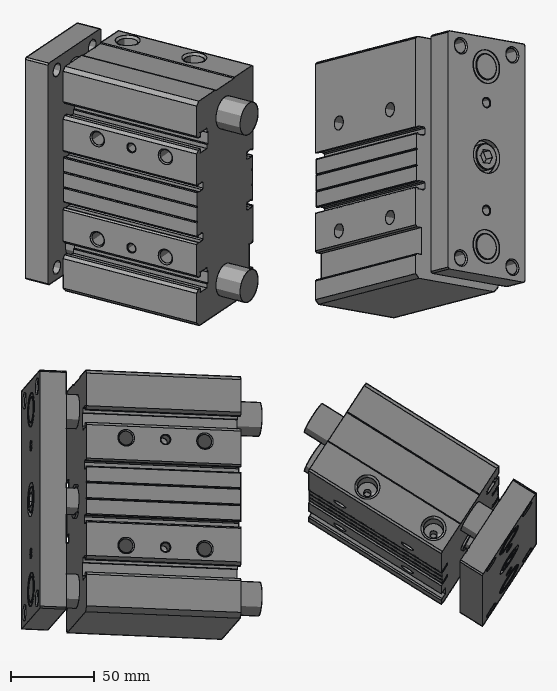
import cadquery as cq
import math


CUT_MARGIN = 1.5

housing_start = 27.8
housing_end = 122.0
housing_length = housing_end - housing_start
housing_depth = 64.0
housing_height = 148.0
front_y = -housing_depth / 2
back_y = housing_depth / 2
top_z = housing_height / 2
bottom_z = -housing_height / 2
front_top_chamfer = 2.4
front_bottom_chamfer = 3.0
back_top_chamfer = 1.3
back_bottom_chamfer = 2.5

plate_thickness = 16.0
plate_depth = 60.0
plate_height = 146.0
plate_chamfer = 1.0

rod_diameter = 16.0
rod_end_chamfer = 0.5
piston_rod_end = 74.0
hex_across_flats = 8.0
hex_depth = 5.9
guide_diameter = 20.4
guide_end = 139.0
guide_spacing = 110.1
guide_zs = (-guide_spacing / 2, guide_spacing / 2)
collar_diameter = 20.4
collar_length = 1.3

rod_recess_diameter = 20.4
piston_recess_depth = 4.5
guide_recess_depth = 0.5

bolt_hole_diameter = 8.5
bolt_hole_rim = 10.0
plate_bolt_half_y = 20.0
plate_bolt_half_z = 65.0
housing_bolt_spacing = 48.0

dowel_diameter = 5.5
dowel_rim = 6.4
dowel_depth = 8.9
dowel_tip_angle = 118.0
dowel_half_z = 33.0
dowel_x = 75.9

port_xs = (40.0, 86.9)
port_y = 21.6
port_diameter = 12.1
port_rim = 15.0
port_depth = 14.8
port_cone_depth = 2.4
port_drill_diameter = 4.5
port_drill_depth = 8.9
air_passage_length = 9.5

top_groove_width = 21.6
top_groove_floor_width = 20.5
top_groove_depth = 0.6

t_slot_z = 45.9
t_mouth_half = 4.0
t_mouth_chamfer = 1.8
t_head_half = 6.7
t_head_start = 4.1
t_head_end = 11.5
t_slot_depth = 13.0

sensor_slot_z = 16.7
sensor_mouth_half = 1.8
sensor_block_chamfer = 1.0
sensor_rib_chamfer = 0.6
sensor_head_half = 2.5
sensor_neck_end = 1.5
sensor_head_start = 2.2
sensor_head_end = 6.4
sensor_slot_depth = 7.1
rib_recess = 0.6
rib_groove_z = 5.0
rib_groove_width = 1.0
rib_groove_depth = 0.6

back_recess_top = -42.6
back_recess_bottom = -59.0
back_recess_chamfer = 1.0
back_recess_depth = 4.5


def along_x(profile, start, length):
    """Extrude a closed outline of (y, z) points along X."""
    return cq.Workplane("YZ", origin=(start, 0, 0)).polyline(profile).close().extrude(length)


def disc_x(start, end, diameter, z=0.0):
    """A cylinder along X between two stations."""
    return cq.Workplane("YZ", origin=(start, 0, z)).circle(diameter / 2).extrude(end - start)


def drill(origin, direction, steps):
    """A turned cutter. Steps are (depth, radius) points of its outline, from the surface down."""
    profile = [(0, 0)] + [(radius, depth) for depth, radius in steps]
    if steps[-1][1] > 0:
        profile.append((0, steps[-1][0]))
    side = (0, 0, 1) if direction[2] == 0 else (1, 0, 0)
    normal = cq.Vector(*side).cross(cq.Vector(*direction))
    plane = cq.Plane(origin=origin, xDir=side, normal=normal.toTuple())
    return cq.Workplane(plane).polyline(profile).close().revolve(360, (0, 0), (0, 1))


def bolt_hole(origin, direction, length):
    """A through hole with a 45 degree chamfer at its rim."""
    rim = bolt_hole_rim / 2
    radius = bolt_hole_diameter / 2
    return drill(origin, direction, [(0, rim), (rim - radius, radius), (length, radius)])


def dowel_hole(origin, direction):
    """A blind hole with a chamfered rim and a drill-point bottom."""
    rim = dowel_rim / 2
    radius = dowel_diameter / 2
    tip = radius / math.tan(math.radians(dowel_tip_angle / 2))
    return drill(
        origin,
        direction,
        [(0, rim), (rim - radius, radius), (dowel_depth, radius), (dowel_depth + tip, 0)],
    )


def housing_block():
    outline = [
        (front_y + front_bottom_chamfer, bottom_z),
        (back_y - back_bottom_chamfer, bottom_z),
        (back_y, bottom_z + back_bottom_chamfer),
        (back_y, top_z - back_top_chamfer),
        (back_y - back_top_chamfer, top_z),
        (front_y + front_top_chamfer, top_z),
        (front_y, top_z - front_top_chamfer),
        (front_y, bottom_z + front_bottom_chamfer),
    ]
    return along_x(outline, housing_start, housing_length)


def face_cut(points, face_y, inward, center_z=0.0, up=1):
    """A housing-long cutter from (depth below a face, height above a center line) points."""
    profile = [(face_y + inward * depth, center_z + up * height) for depth, height in points]
    return along_x(profile, housing_start, housing_length)


def rod_collar():
    """A low collar around the piston rod, open toward -Y over the rod's full width."""
    start = housing_start - collar_length
    collar = disc_x(start, housing_start, collar_diameter)
    opening = cq.Workplane("XY").box(
        collar_length, collar_diameter / 2, rod_diameter, centered=(False, False, True)
    )
    return collar.cut(opening.translate((start, -collar_diameter / 2, 0)))


def t_slot(center_z):
    mouth = t_mouth_half + t_mouth_chamfer
    half = [
        (0, mouth),
        (t_mouth_chamfer, t_mouth_half),
        (t_head_start, t_mouth_half),
        (t_head_start, t_head_half),
        (t_head_end, t_head_half),
        (t_head_end, t_mouth_half),
        (t_slot_depth, t_mouth_half),
    ]
    other_half = [(depth, -height) for depth, height in reversed(half)]
    return face_cut(half + other_half, front_y, 1, center_z)


def sensor_slot(face_y, inward, side, block_chamfer):
    """One sensor slot; the solid block lies on its outer side, the ribs on its inner side."""
    inner = [
        (sensor_neck_end, sensor_mouth_half),
        (sensor_head_start, sensor_head_half),
        (sensor_head_end, sensor_head_half),
        (sensor_slot_depth, sensor_mouth_half),
    ]
    outer_side = [(0, sensor_mouth_half + block_chamfer)]
    if block_chamfer > 0:
        outer_side.append((block_chamfer, sensor_mouth_half))
    rib_side = [
        (rib_recess + sensor_rib_chamfer, -sensor_mouth_half),
        (rib_recess, -sensor_mouth_half - sensor_rib_chamfer),
        (0, -sensor_mouth_half - sensor_rib_chamfer),
    ]
    mirrored = [(depth, -height) for depth, height in reversed(inner)]
    points = outer_side + inner + mirrored + rib_side
    return face_cut(points, face_y, inward, side * sensor_slot_z, side)


def ribbed_band(face_y, inward):
    """The set-back band between the sensor slots, with its two V grooves."""
    edge = sensor_slot_z
    band = face_cut([(0, -edge), (rib_recess, -edge), (rib_recess, edge), (0, edge)], face_y, inward)
    half = rib_groove_width / 2
    groove = [(rib_recess, -half), (rib_recess + rib_groove_depth, 0), (rib_recess, half)]
    for side in (-1, 1):
        band = band.union(face_cut(groove, face_y, inward, side * rib_groove_z))
    return band


def back_recess():
    upper = back_recess_top
    lower = back_recess_bottom
    chamfer = back_recess_chamfer
    points = [
        (0, upper + chamfer),
        (chamfer, upper),
        (back_recess_depth, upper),
        (back_recess_depth, lower),
        (chamfer, lower),
        (0, lower - chamfer),
    ]
    return face_cut(points, back_y, -1)


def top_groove():
    floor_z = top_z - top_groove_depth
    profile = [
        (-top_groove_width / 2, top_z),
        (-top_groove_floor_width / 2, floor_z),
        (top_groove_floor_width / 2, floor_z),
        (top_groove_width / 2, top_z),
    ]
    return along_x(profile, housing_start, housing_length)


def air_port(x):
    rim = port_rim / 2
    radius = port_diameter / 2
    drill_radius = port_drill_diameter / 2
    cone_end = port_depth + port_cone_depth
    steps = [
        (0, rim),
        (rim - radius, radius),
        (port_depth, radius),
        (cone_end, drill_radius),
        (cone_end + port_drill_depth, drill_radius),
    ]
    return drill((x, port_y, top_z), (0, 0, -1), steps)


def air_passage(x):
    """A short cross hole along X at the foot of a port's drilling."""
    z = top_z - port_depth - port_cone_depth - port_drill_depth
    half = air_passage_length / 2
    return disc_x(x - half, x + half, port_drill_diameter, z).translate((0, port_y, 0))


def make_housing():
    body = housing_block()
    body = body.union(rod_collar())

    for side in (-1, 1):
        body = body.cut(t_slot(side * t_slot_z))
        body = body.cut(sensor_slot(front_y, 1, side, sensor_block_chamfer))
        body = body.cut(sensor_slot(back_y, -1, side, 0))
    body = body.cut(ribbed_band(front_y, 1)).cut(ribbed_band(back_y, -1))
    body = body.cut(back_recess()).cut(top_groove())

    for z in (-dowel_half_z, dowel_half_z):
        for x in (dowel_x - housing_bolt_spacing / 2, dowel_x + housing_bolt_spacing / 2):
            body = body.cut(bolt_hole((x, front_y, z), (0, 1, 0), housing_depth + CUT_MARGIN))
        body = body.cut(dowel_hole((dowel_x, front_y, z), (0, 1, 0)))

    for x in port_xs:
        body = body.cut(air_port(x))
    body = body.cut(air_passage(port_xs[1]))

    body = body.cut(disc_x(housing_start - collar_length, piston_rod_end, rod_diameter))
    for z in guide_zs:
        body = body.cut(disc_x(housing_start, housing_end, guide_diameter, z))
    return body


def make_plate():
    plate = (
        cq.Workplane("YZ")
        .rect(plate_depth, plate_height)
        .extrude(plate_thickness)
        .edges("|X")
        .chamfer(plate_chamfer)
    )
    plate = plate.cut(disc_x(0, plate_thickness, rod_diameter))
    plate = plate.cut(disc_x(0, piston_recess_depth, rod_recess_diameter))
    for z in guide_zs:
        plate = plate.cut(disc_x(0, plate_thickness, rod_diameter, z))
        plate = plate.cut(disc_x(0, guide_recess_depth, rod_recess_diameter, z))
    for y in (-plate_bolt_half_y, plate_bolt_half_y):
        for z in (-plate_bolt_half_z, plate_bolt_half_z):
            plate = plate.cut(bolt_hole((0, y, z), (1, 0, 0), plate_thickness))
    for z in (-dowel_half_z, dowel_half_z):
        plate = plate.cut(dowel_hole((0, 0, z), (1, 0, 0)))
    return plate


def make_piston_rod():
    hex_across_corners = hex_across_flats / math.cos(math.pi / 6)
    hex_socket = cq.Workplane("YZ").polygon(6, hex_across_corners).extrude(hex_depth)
    rod = disc_x(0, piston_rod_end, rod_diameter).faces("<X").chamfer(rod_end_chamfer)
    return rod.cut(hex_socket)


def make_guide_rod(z):
    """A guide rod with a thinner end that fills its hole in the plate."""
    end = disc_x(0, plate_thickness, rod_diameter, z).faces("<X").chamfer(rod_end_chamfer)
    return end.union(disc_x(plate_thickness, guide_end, guide_diameter, z))


housing = make_housing()
plate = make_plate()
piston_rod = make_piston_rod()
guide_rods = [make_guide_rod(z).val() for z in guide_zs]

result = cq.Compound.makeCompound([housing.val(), plate.val(), piston_rod.val(), *guide_rods])